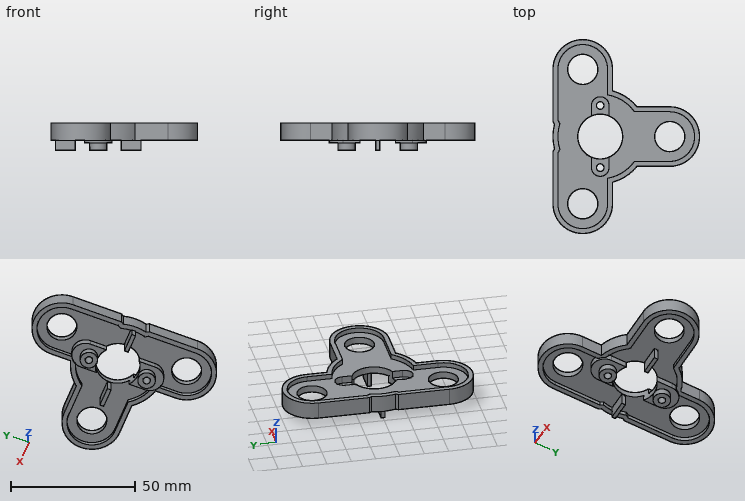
import cadquery as cq
import math

overall_length = 78.0
lobe_radius = 12.0
lobe_hole_radius = 6.0
side_lobe_y = overall_length / 2 - lobe_radius
side_lobe_x = -7.0
end_lobe_x = 27.9
hub_radius = -side_lobe_x + lobe_radius
bore_radius = 9.0

body_height = 7.0
rim_width = 2.0
recess_depth = 2.0
leg_drop = 4.0

notch_start_y = 6.0
notch_hub_y = 4.9

screw_y = 12.5
screw_hole_radius = 1.5
post_radius = 3.5
pad_centre_y = 14.0
pad_radius = 5.5
pad_drop = 1.0

rib_width = 1.6
rib_inner_x = 9.2
rib_outer_x = 17.2

web_bottom = recess_depth
web_top = body_height - recess_depth
edge_x = side_lobe_x - lobe_radius


def plate_outline():
    """Closed wire of the three-lobed body, mirrored about the X axis."""
    shoulder_x = side_lobe_x + lobe_radius
    shoulder_y = math.sqrt(hub_radius**2 - shoulder_x**2)
    neck_x = math.sqrt(hub_radius**2 - lobe_radius**2)
    shoulder_angle = math.atan2(shoulder_y, shoulder_x)
    neck_angle = math.atan2(lobe_radius, neck_x)
    middle_angle = (shoulder_angle + neck_angle) / 2
    hub_x = hub_radius * math.cos(middle_angle)
    hub_y = hub_radius * math.sin(middle_angle)
    notch_x = -math.sqrt(hub_radius**2 - notch_hub_y**2)
    return (
        cq.Workplane("XY")
        .moveTo(notch_x, notch_hub_y)
        .lineTo(edge_x, notch_start_y)
        .lineTo(edge_x, side_lobe_y)
        .threePointArc((side_lobe_x, side_lobe_y + lobe_radius), (shoulder_x, side_lobe_y))
        .lineTo(shoulder_x, shoulder_y)
        .threePointArc((hub_x, hub_y), (neck_x, lobe_radius))
        .lineTo(end_lobe_x, lobe_radius)
        .threePointArc((end_lobe_x + lobe_radius, 0), (end_lobe_x, -lobe_radius))
        .lineTo(neck_x, -lobe_radius)
        .threePointArc((hub_x, -hub_y), (shoulder_x, -shoulder_y))
        .lineTo(shoulder_x, -side_lobe_y)
        .threePointArc((side_lobe_x, -side_lobe_y - lobe_radius), (edge_x, -side_lobe_y))
        .lineTo(edge_x, -notch_start_y)
        .lineTo(notch_x, -notch_hub_y)
        .threePointArc((-hub_radius, 0), (notch_x, notch_hub_y))
        .close()
    )


def cylinder(x, y, radius, bottom, top):
    return cq.Workplane("XY", origin=(x, y, bottom)).circle(radius).extrude(top - bottom)


def slot_from_centre(end_y, radius, bottom, top):
    """Round-ended block running from the bore axis to end_y."""
    bar = (
        cq.Workplane("XY", origin=(0, end_y / 2, bottom))
        .rect(2 * radius, abs(end_y))
        .extrude(top - bottom)
    )
    return bar.union(cylinder(0, end_y, radius, bottom, top))


def body():
    """Rim with a recess on both faces, leaving a web between them."""
    recess = plate_outline().offset2D(-rim_width, "intersection").extrude(recess_depth)
    return (
        plate_outline()
        .extrude(body_height)
        .cut(recess)
        .cut(recess.translate((0, 0, web_top)))
    )


result = body()

rib_length = rib_outer_x - rib_inner_x
for side in (1, -1):
    rib_x = side * (rib_inner_x + rib_length / 2)
    rib = (
        cq.Workplane("XY", origin=(rib_x, 0, -leg_drop))
        .rect(rib_length, rib_width)
        .extrude(leg_drop + web_bottom)
    )
    result = result.union(rib)

for side in (1, -1):
    slot = slot_from_centre(side * screw_y, post_radius, web_bottom, web_top)
    pad = slot_from_centre(side * pad_centre_y, pad_radius, -pad_drop, web_bottom)
    result = result.cut(slot).union(pad)

result = result.cut(cylinder(0, 0, bore_radius, -pad_drop, body_height))
lobes = [(end_lobe_x, 0), (side_lobe_x, side_lobe_y), (side_lobe_x, -side_lobe_y)]
for x, y in lobes:
    result = result.cut(cylinder(x, y, lobe_hole_radius, 0, body_height))

for side in (1, -1):
    post = cylinder(0, side * screw_y, post_radius, -leg_drop, -pad_drop)
    screw_hole = cylinder(0, side * screw_y, screw_hole_radius, -leg_drop, web_bottom)
    result = result.union(post).cut(screw_hole)